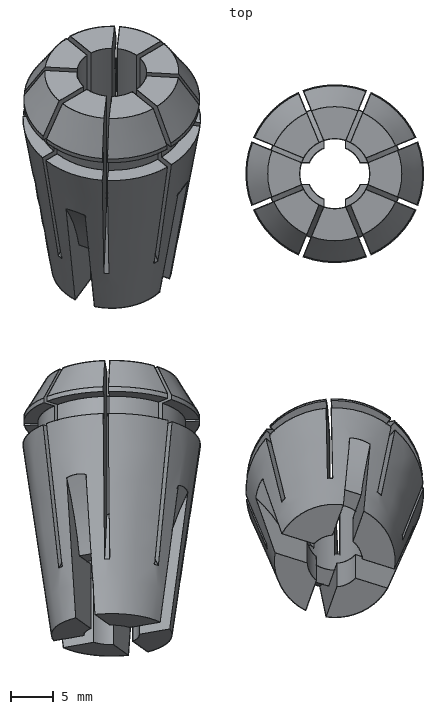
import cadquery as cq
import math

height = 31.5
body_radius = 20.9 / 2
body_top = 23.88
taper_angle = 8.0
tail_radius = body_radius - body_top * math.tan(math.radians(taper_angle))

head_radius = 10.33
face_radius = 7.88
head_bottom = 26.68
head_cone_bottom = 27.28
groove_radius = 8.7

bore_radius = 4.1
tail_bore_radius = 3.25
bore_step_height = 8.1

slit_count = 8
slit_width = 0.6
slit_outer_radius = 8.32
slit_outer_height = 6.05
slit_inner_height = 13.6
slit_floor_radius = 44.1

slot_count = 4
slot_width = 2.52
slot_flat_radius = 6.02
slot_outer_radius = 9.75
slot_outer_height = 17.45
slot_roof_radius = 30.0

clearance = 1.58
reach = body_radius + clearance


def make_blank():
    """Revolve the tapered body, groove and head, with the stepped bore."""
    profile = [
        (tail_bore_radius, 0),
        (tail_radius, 0),
        (body_radius, body_top),
        (groove_radius, body_top),
        (groove_radius, head_bottom),
        (head_radius, head_bottom),
        (head_radius, head_cone_bottom),
        (face_radius, height),
        (bore_radius, height),
        (bore_radius, bore_step_height),
        (tail_bore_radius, bore_step_height),
    ]
    return cq.Workplane("XZ").polyline(profile).close().revolve(360, (0, 0), (0, 1))


def arc_midpoint(start, end, radius):
    """Middle of the arc of the given radius that bows to the left of start to end."""
    dr = end[0] - start[0]
    dz = end[1] - start[1]
    chord = math.hypot(dr, dz)
    sag = radius - math.sqrt(radius**2 - (chord / 2) ** 2)
    return (
        (start[0] + end[0]) / 2 - sag * dz / chord,
        (start[1] + end[1]) / 2 + sag * dr / chord,
    )


def make_slit():
    """Slit along +X, open upwards, with a concave floor that drops outwards."""
    outer = (slit_outer_radius, slit_outer_height)
    inner = (bore_radius, slit_inner_height)
    top = height + clearance
    return (
        cq.Workplane("XZ")
        .moveTo(0, top)
        .lineTo(reach, top)
        .lineTo(reach, slit_outer_height)
        .lineTo(*outer)
        .threePointArc(arc_midpoint(outer, inner, slit_floor_radius), inner)
        .lineTo(0, slit_inner_height)
        .close()
        .extrude(slit_width / 2, both=True)
    )


def make_slot():
    """Slot along +X, open at the tail: flat roof near the axis, then curving up outwards."""
    inner = (slot_flat_radius, bore_step_height)
    outer = (slot_outer_radius, slot_outer_height)
    return (
        cq.Workplane("XZ")
        .moveTo(0, -clearance)
        .lineTo(0, bore_step_height)
        .lineTo(*inner)
        .threePointArc(arc_midpoint(inner, outer, slot_roof_radius), outer)
        .lineTo(reach, slot_outer_height)
        .lineTo(reach, -clearance)
        .close()
        .extrude(slot_width / 2, both=True)
    )


def cut_around(body, cutter, count, first_angle):
    """Cut equally spaced copies of the cutter around the Z axis."""
    for i in range(count):
        angle = first_angle + i * 360 / count
        body = body.cut(cutter.rotate((0, 0, 0), (0, 0, 1), angle))
    return body


result = make_blank()
half_slit_pitch = 360 / slit_count / 2
result = cut_around(result, make_slit(), slit_count, half_slit_pitch)
result = cut_around(result, make_slot(), slot_count, 0)